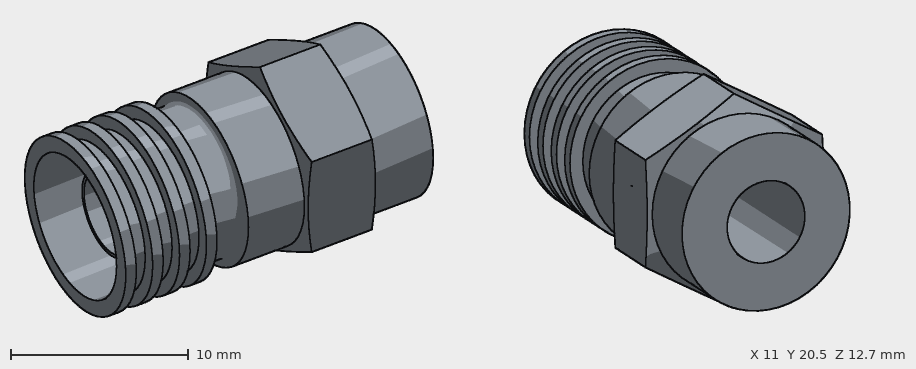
import cadquery as cq
import math

length = 20.5
body_radius = 5.23
body_start = 8.25

sleeve_radius = 4.6
rib_radius = 5.4
rib_width = 0.7
rib_pitch = 1.78
rib_count = 4

flare_radius = 0.45

hex_flats = 11.0
hex_corners = hex_flats / math.cos(math.pi / 6)
hex_start = 11.95
hex_end = 16.56
hex_chamfer_radius = body_radius
hex_chamfer_depth = 0.3

sleeve_bore_radius = 4.4
sleeve_bore_depth = body_start
through_radius = 2.42
post_radius = 2.62
post_length = 6.15


def cylinder(radius, start, end):
    """Solid cylinder along Y between two stations."""
    plane = cq.Workplane("XZ", origin=(0, start, 0))
    return plane.circle(radius).extrude(start - end)


def make_sleeve():
    """Thin sleeve with evenly spaced ribs and a concave flare into the body."""
    profile = (
        cq.Workplane("XY")
        .lineTo(sleeve_radius, 0)
        .lineTo(sleeve_radius, body_start - flare_radius)
        .radiusArc((sleeve_radius + flare_radius, body_start), flare_radius)
        .lineTo(0, body_start)
        .close()
    )
    sleeve = profile.revolve(360, (0, 0, 0), (0, 1, 0))
    for index in range(rib_count):
        rib_start = index * rib_pitch
        sleeve = sleeve.union(cylinder(rib_radius, rib_start, rib_start + rib_width))
    return sleeve


def make_hex():
    """Hexagonal prism whose corners are trimmed by a cone at each end."""
    prism = (
        cq.Workplane("XZ", origin=(0, hex_start, 0))
        .transformed(rotate=(0, 0, 90))
        .polygon(6, hex_corners)
        .extrude(hex_start - hex_end)
    )
    corner_radius = hex_corners / 2
    envelope = (
        cq.Workplane("XY")
        .moveTo(0, hex_start)
        .lineTo(hex_chamfer_radius, hex_start)
        .lineTo(corner_radius, hex_start + hex_chamfer_depth)
        .lineTo(corner_radius, hex_end - hex_chamfer_depth)
        .lineTo(hex_chamfer_radius, hex_end)
        .lineTo(0, hex_end)
        .close()
        .revolve(360, (0, 0, 0), (0, 1, 0))
    )
    return prism.intersect(envelope)


body = cylinder(body_radius, body_start, length)
outside = make_sleeve().union(body).union(make_hex())

sleeve_bore = cylinder(sleeve_bore_radius, 0, sleeve_bore_depth)
post = cylinder(post_radius, sleeve_bore_depth - post_length, sleeve_bore_depth)
through_bore = cylinder(through_radius, 0, length)

result = outside.cut(sleeve_bore).union(post).cut(through_bore)